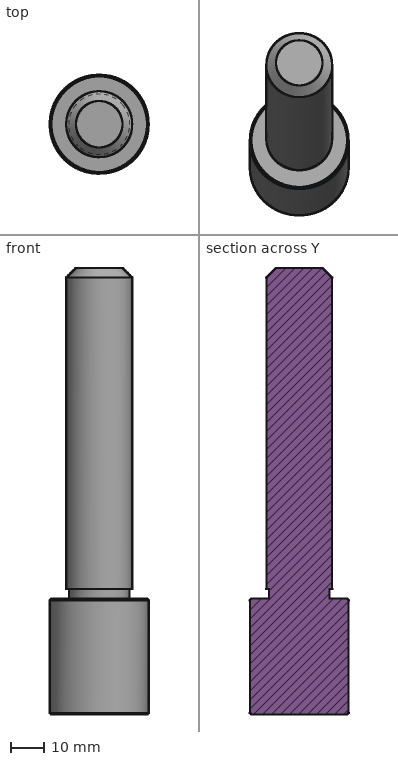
import cadquery as cq

total_length = 135.0
head_diameter = 30.0
head_height = 35.1
head_chamfer = 0.5
shank_diameter = 20.0
tip_chamfer = 3.0
neck_diameter = 18.4
neck_height = 2.8

shank_bottom = head_height + neck_height
shank_length = total_length - shank_bottom


def cylinder(diameter, bottom, height):
    """Upright cylinder on the Z axis, starting at the given height."""
    return cq.Workplane("XY").workplane(offset=bottom).circle(diameter / 2).extrude(height)


head = cylinder(head_diameter, 0, head_height).faces("<Z or >Z").chamfer(head_chamfer)

neck = cylinder(neck_diameter, head_height, neck_height)

shank = cylinder(shank_diameter, shank_bottom, shank_length).faces(">Z").chamfer(tip_chamfer)

result = head.union(neck).union(shank)